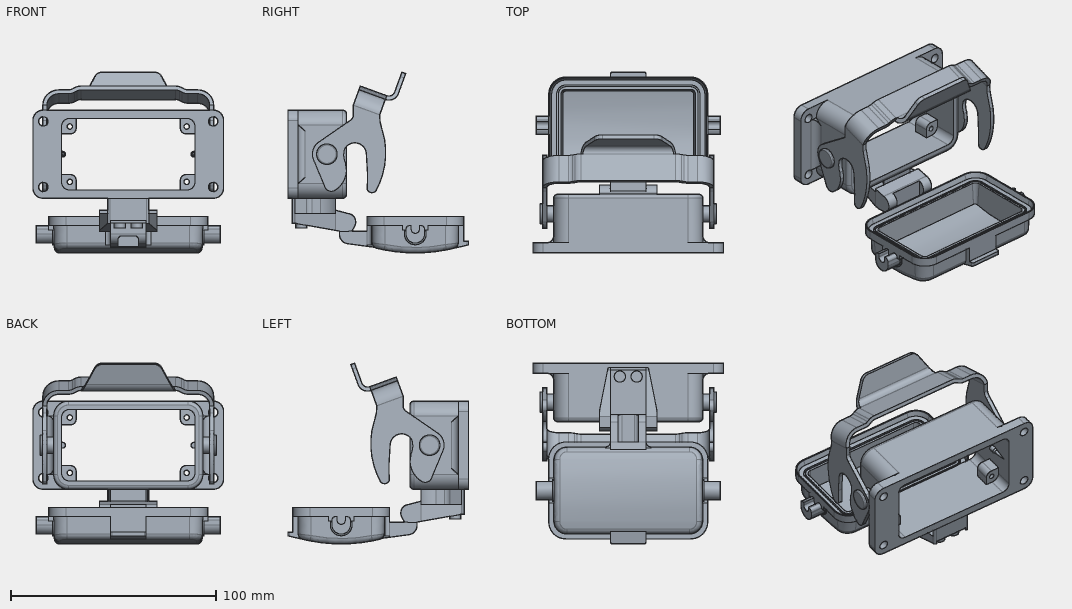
import cadquery as cq
import math


flange_length = 93.0
hood_height = 43.1
flange_thickness = 5.0
flange_corner = 5.0
hood_length = 72.7
hood_depth = 28.6
hood_corner = 7.35
hood_edge_round = 1.95
opening_length = 64.9
opening_height = 34.8
opening_corner = 3.7
mount_hole_diameter = 4.5
mount_hole_x = 41.4
mount_hole_z = 16.0
flare_radius = 3.35
flare_length = 28.6
flare_taper = 3.0

boss_length = 7.2
boss_height = 7.5
boss_corner = 3.0
boss_front = 9.0
boss_depth = 7.8
boss_hole_diameter = 2.5
boss_hole_x = 28.5
boss_hole_z = 13.5
key_diameter = 2.9
key_x = 32.0
key_front = 3.7
key_neck_radius = 0.9
key_neck = 10.2
key_shoulder = 11.2
key_end = 13.95

sheet = 2.0
bail_width = 83.3
pivot_y = 19.1
pivot_eye_radius = 7.1
pivot_head_diameter = 10.0
pivot_head_height = 1.4
pivot_head_round = 0.6
pivot_pin_diameter = 8.0
strap_tilt = 20.0
strap_width = 13.8
strap_front_y = 31.9
strap_front_z = 23.9
strap_bend = 8.0
strap_rise = 1.95
strap_raised_half = 24.55
strap_ramp_half = 28.1
ramp_inner_bend = 4.0
grip_bend = 5.0
grip_height = 13.3
grip_base_half = 23.1
grip_tip_half = 15.2
grip_corner = 4.2

arm_half_width = 8.65
arm_top = -37.5
notch_half_width = 5.0
notch_top = -39.8
notch_back = 38.5
notch_corner = 1.9
link_narrow_half = 10.0
link_wide_half = 14.0
link_top = -28.9
link_front = 3.4
link_back = 23.3
link_slot_front = 30.1
knuckle_end = 37.2
channel_top = -33.5
channel_mouth_top = -32.2
arm_end = 25.1
plate_front = 2.1
plate_bottom = -33.7
plate_edge_round = 1.1
screw_diameter = 5.5
screw_x = 4.1
screw_y = 6.6
screw_bottom = -36.0

cover_center_y = 62.1
rim_length = 77.6
rim_width = 47.2
rim_corner = 8.4
rim_top = -30.3
rim_bottom = -34.7
wall_inset = 2.3
wall_slope = 0.5
wall_corner = 6.6
cover_bottom = -48.2
belly_radius = 77.2
belly_round = 2.8
floor_thickness = 1.9
lip_thickness = 0.6
lip_slope = 0.9
lip_depth = 2.6
groove_inset = 3.9
groove_width = 0.8
groove_depth = 1.1
cavity_inset = 6.0
cavity_slope = 1.0
finger_tip_y = 88.2
finger_top = -42.3
finger_bottom = -44.2
finger_root_bottom = -45.7
finger_corner = 0.8
root_reach = 3.7
arm_root_round = 2.3
peg_tip = 44.8
peg_diameter = 9.0
peg_bottom = -43.3
peg_top = -34.8
peg_shoulder = 1.8
peg_slot_diameter = 4.0
peg_slot_center_z = -36.55
peg_collar_diameter = 10.6
peg_collar_end = 36.8
skirt_width = 12.4
skirt_height = 2.2

OVERLAP = 0.9


def box(x_range, y_range, z_range):
    """Axis-aligned block from three (low, high) ranges."""
    sizes = [high - low for low, high in (x_range, y_range, z_range)]
    lows = (x_range[0], y_range[0], z_range[0])
    return cq.Workplane("XY").box(*sizes, centered=False).translate(lows)


def across(profile_yz, half_width):
    """Extrude a closed Y-Z outline evenly to both sides of X = 0."""
    return profile_yz.extrude(half_width, both=True)


def rounded_slab(length, height, y_start, y_end, corner):
    """Slab along Y with its four corners rounded in the X-Z plane."""
    slab = box((-length / 2, length / 2), (y_start, y_end), (-height / 2, height / 2))
    return slab.edges("|Y").fillet(corner)


def both_sides(body):
    """Body together with its mirror image across X = 0."""
    return body.union(body.mirror("YZ"))


def four_corners(x, z):
    """Points mirrored about both axes."""
    return [(sx * x, sz * z) for sx in (-1, 1) for sz in (-1, 1)]


def holes_along_y(points, diameter, y_start, y_end):
    drill = cq.Workplane("XZ", origin=(0, y_start, 0)).pushPoints(points)
    return drill.circle(diameter / 2).extrude(y_start - y_end)


def make_flare():
    """Hollow-rounded strip joining the hood end to the flange, with slanted ends."""
    x, y = hood_length / 2, flange_thickness
    hollow = flare_radius * (1 - math.sqrt(0.5))
    strip = (
        cq.Workplane("XY", origin=(0, 0, -flare_length / 2))
        .moveTo(x - OVERLAP, y - OVERLAP)
        .lineTo(x + flare_radius, y - OVERLAP)
        .lineTo(x + flare_radius, y)
        .threePointArc((x + hollow, y + hollow), (x, y + flare_radius))
        .lineTo(x - OVERLAP, y + flare_radius)
        .close()
        .extrude(flare_length)
    )
    half, back = flare_length / 2, y + flare_radius
    ends = [(y - OVERLAP, -half), (y, -half), (back, flare_taper - half),
            (back, half - flare_taper), (y, half), (y - OVERLAP, half)]
    return strip.intersect(across(cq.Workplane("YZ").polyline(ends).close(), flange_length))


def make_bosses():
    """Screw bosses in the corners of the opening."""
    x_wall, z_wall = opening_length / 2, opening_height / 2
    y_range = (boss_front, boss_front + boss_depth)
    block = box((x_wall - boss_length, x_wall + OVERLAP), y_range,
                (z_wall - boss_height, z_wall + OVERLAP))
    block = block.edges("|Y and <X and <Z").fillet(boss_corner)
    upper = both_sides(block)
    bosses = upper.union(upper.mirror("XY"))
    corners = four_corners(boss_hole_x, boss_hole_z)
    return bosses.cut(holes_along_y(corners, boss_hole_diameter, *y_range))


def make_key():
    """Guide key on the end wall: a half-sunk pin tapering to a point."""
    radius = key_diameter / 2
    outline = [(0, key_front), (key_neck_radius, key_neck), (radius, key_shoulder),
               (radius, key_end), (0, key_end)]
    pin = cq.Workplane("XY").polyline(outline).close().revolve(360, (0, 0), (0, 1))
    return pin.translate((key_x, 0, 0))


def make_hood():
    """Flanged hood, open from front to back, with bosses and guide keys inside."""
    flange = rounded_slab(flange_length, hood_height, 0, flange_thickness, flange_corner)
    shell = rounded_slab(hood_length, hood_height, 0, hood_depth, hood_corner)
    shell = shell.faces(">Y").edges().fillet(hood_edge_round)
    hood = flange.union(shell).union(both_sides(make_flare()))
    hood = hood.cut(rounded_slab(opening_length, opening_height, -OVERLAP,
                                 hood_depth + OVERLAP, opening_corner))
    corners = four_corners(mount_hole_x, mount_hole_z)
    hood = hood.cut(holes_along_y(corners, mount_hole_diameter, -OVERLAP, flange_thickness))
    return hood.union(make_bosses()).union(both_sides(make_key()))


def make_side_arm():
    """Flat arm of the bail: pivot eye, hook slot and the long finger."""
    tilt = math.radians(strap_tilt)
    strap_back_y = strap_front_y + strap_width * math.cos(tilt)
    strap_back_z = strap_front_z - strap_width * math.sin(tilt)
    outline = (
        cq.Workplane("YZ", origin=(bail_width / 2 - sheet, 0, 0))
        .moveTo(strap_front_y, strap_front_z)
        .lineTo(strap_front_y, 19.1)
        .threePointArc((31.4, 17.5), (30.2, 16.4))
        .lineTo(15.1, 5.9)
        .threePointArc((pivot_y - pivot_eye_radius, 0), (12.6, -2.7))
        .lineTo(17.95, -15.5)
        .threePointArc((20.6, -18.0), (23.4, -17.3))
        .threePointArc((26.9, -13.7), (28.55, -7.8))
        .lineTo(28.1, -4.2)
        .threePointArc((27.25, -0.5), (27.6, 2.3))
        .threePointArc((32.7, 5.5), (38.2, 0.3))
        .lineTo(38.8, -9.3)
        .lineTo(38.7, -17.3)
        .threePointArc((40.9, -18.8), (43.15, -17.6))
        .threePointArc((46.6, -8.65), (47.2, 7.1))
        .lineTo(45.0, 15.8)
        .lineTo(strap_back_y, strap_back_z)
        .close()
    )
    return outline.extrude(sheet)


def place_on_strap(body):
    """Move a body from strap axes to the bail.

    In strap axes Y is the distance from the front edge, and Z rises from the bend line.
    """
    tilted = body.rotate((0, 0, 0), (1, 0, 0), -strap_tilt)
    return tilted.translate((0, strap_front_y, strap_front_z))


def strap_outline(offset):
    """Half of the strap's path in X-Z, moved inwards by the given offset."""
    side = bail_width / 2 - offset
    flat = strap_bend - offset
    diagonal = flat * math.sqrt(0.5)
    center = bail_width / 2 - strap_bend
    ramp_shift = offset * math.tan(math.atan2(strap_rise, strap_ramp_half - strap_raised_half) / 2)
    return [
        (side, 0),
        (center + diagonal, diagonal),
        (center, flat),
        (strap_ramp_half - ramp_shift, flat),
        (strap_raised_half - ramp_shift, flat + strap_rise),
    ]


def make_strap():
    """Cross strap with bent ends and a raised middle."""
    outer = strap_outline(0)
    inner = strap_outline(sheet)
    half = (
        cq.Workplane("XZ")
        .moveTo(*outer[0])
        .threePointArc(outer[1], outer[2])
        .lineTo(*outer[3])
        .lineTo(*outer[4])
        .lineTo(0, outer[4][1])
        .lineTo(0, inner[4][1])
        .lineTo(*inner[4])
        .lineTo(*inner[3])
        .lineTo(*inner[2])
        .threePointArc(inner[1], inner[0])
        .close()
        .extrude(-strap_width)
    )
    inner_radius, outer_radius = ramp_inner_bend, ramp_inner_bend + sheet
    bends = [(outer[3], inner_radius), (inner[3], outer_radius),
             (outer[4], outer_radius), (inner[4], inner_radius)]
    for (x, z), radius in bends:
        corner = cq.selectors.NearestToPointSelector((x, strap_width / 2, z))
        half = half.edges(corner).fillet(radius)
    return both_sides(half)


def make_grip():
    """Finger grip bent up from the back edge of the strap."""
    top = strap_bend + strap_rise
    tip = top + grip_height
    outer_face = strap_width + grip_bend
    inner_bend = grip_bend - sheet
    bend_center_z = top + inner_bend
    diagonal = math.sqrt(0.5)
    outer_mid = (strap_width + grip_bend * diagonal, bend_center_z - grip_bend * diagonal)
    inner_mid = (strap_width + inner_bend * diagonal, bend_center_z - inner_bend * diagonal)
    bent_sheet = across(
        cq.Workplane("YZ")
        .moveTo(strap_width - OVERLAP, top - sheet)
        .lineTo(strap_width, top - sheet)
        .threePointArc(outer_mid, (outer_face, bend_center_z))
        .lineTo(outer_face, tip)
        .lineTo(outer_face - sheet, tip)
        .lineTo(outer_face - sheet, bend_center_z)
        .threePointArc(inner_mid, (strap_width, top))
        .lineTo(strap_width - OVERLAP, top)
        .close(),
        grip_base_half,
    )
    base = top - sheet
    trapezoid = [(-grip_base_half, base), (grip_base_half, base),
                 (grip_tip_half, tip), (-grip_tip_half, tip)]
    blank = cq.Workplane("XZ").polyline(trapezoid).close().extrude(-outer_face)
    blank = blank.edges("|Y and >Z").fillet(grip_corner)
    return bent_sheet.intersect(blank)


def make_pivot():
    """Pivot pin from the hood wall through the arm, with its outer head."""
    start = hood_length / 2 - OVERLAP
    head_end = bail_width / 2 + pivot_head_height
    pin = cq.Workplane("YZ", origin=(start, pivot_y, 0)).circle(pivot_pin_diameter / 2)
    pin = pin.extrude(head_end - start)
    head = cq.Workplane("YZ", origin=(bail_width / 2 - sheet / 2, pivot_y, 0))
    head = head.circle(pivot_head_diameter / 2).extrude(sheet / 2 + pivot_head_height)
    return pin.union(head.faces(">X").edges().fillet(pivot_head_round))


def make_bail():
    crossbar = place_on_strap(make_strap().union(make_grip()))
    return crossbar.union(both_sides(make_side_arm().union(make_pivot())))


def make_link():
    """Hinge link: tapered tray under the hood with a rounded knuckle at the back."""
    side = (
        cq.Workplane("YZ")
        .moveTo(link_front, link_top)
        .lineTo(link_back, link_top)
        .lineTo(link_back, -27.25)
        .lineTo(29.3, -28.8)
        .threePointArc((32.7, -31.25), (32.7, -34.9))
        .lineTo(31.3, -37.5)
        .lineTo(26.0, -37.7)
        .lineTo(link_front, plate_bottom)
        .close()
    )
    plan = [(-link_narrow_half, link_front), (link_narrow_half, link_front),
            (link_wide_half, link_back), (link_wide_half, knuckle_end),
            (-link_wide_half, knuckle_end), (-link_wide_half, link_back)]
    blank = cq.Workplane("XY").polyline(plan).close().extrude(cover_bottom)
    link = across(side, link_wide_half).intersect(blank)
    slot = box((-arm_half_width, arm_half_width), (link_slot_front, knuckle_end), (cover_bottom, 0))
    return link.cut(slot)


def make_hinge():
    """Waisted post and front plate under the hood, link, and two screws in the link's channel."""
    under_hood = OVERLAP - hood_height / 2
    post_foot = link_top - OVERLAP
    half_post = (
        cq.Workplane("XY", origin=(0, 0, post_foot))
        .moveTo(0, link_front)
        .lineTo(9.3, link_front)
        .lineTo(6.0, 9.0)
        .threePointArc((5.0, 10.3), (4.65, 11.8))
        .lineTo(4.65, 16.0)
        .threePointArc((5.9, 19.9), (8.65, link_back))
        .lineTo(0, link_back)
        .close()
        .extrude(under_hood - post_foot)
    )
    plate = box((-link_narrow_half, link_narrow_half), (plate_front, link_front),
                (plate_bottom, under_hood))
    plate = plate.edges("|Z and <Y").fillet(plate_edge_round)
    screws = (
        cq.Workplane("XY", origin=(0, 0, screw_bottom))
        .pushPoints([(-screw_x, screw_y), (screw_x, screw_y)])
        .circle(screw_diameter / 2)
        .extrude(link_top - screw_bottom)
    )
    channel = box((-arm_half_width, arm_half_width), (0, arm_end), (cover_bottom, channel_top))
    mouth = box((-arm_half_width, arm_half_width), (0, link_front), (cover_bottom, channel_mouth_top))
    hinge = make_link().union(both_sides(half_post)).union(plate).cut(channel).cut(mouth)
    return hinge.union(screws)


def cover_slab(inset, z_low, z_high, slope=0, corner=None):
    """Rounded slab following the cover outline; a slope narrows it towards the bottom."""
    corner = corner or rim_corner - inset
    return (
        cq.Workplane("XY", origin=(0, cover_center_y, z_high))
        .sketch()
        .rect(rim_length - 2 * inset, rim_width - 2 * inset)
        .vertices()
        .fillet(corner)
        .finalize()
        .extrude(z_low - z_high, taper=math.degrees(math.atan2(slope, z_high - z_low)))
    )


def above_belly(z_lowest, radius):
    """Space above the arched floor whose lowest line is at z_lowest."""
    half = rim_width / 2
    z_edge = z_lowest + radius - math.sqrt(radius ** 2 - half ** 2)
    y_low, y_high = cover_center_y - half, cover_center_y + half
    outline = (
        cq.Workplane("YZ")
        .moveTo(y_low, rim_top + OVERLAP)
        .lineTo(y_low, z_edge)
        .threePointArc((cover_center_y, z_lowest), (y_high, z_edge))
        .lineTo(y_high, rim_top + OVERLAP)
        .close()
    )
    return across(outline, rim_length / 2)


def make_cover_arm():
    """Hinge arm reaching from the cover to the link, notched at its end."""
    root_y = cover_center_y - rim_width / 2
    side = (
        cq.Workplane("YZ")
        .moveTo(root_y + root_reach, arm_top)
        .lineTo(arm_end, arm_top)
        .lineTo(arm_end, -38.9)
        .threePointArc((26.2, -42.0), (28.8, -43.6))
        .lineTo(root_y, -44.9)
        .lineTo(root_y + root_reach, -45.4)
        .close()
    )
    notch = box((-notch_half_width, notch_half_width), (0, notch_back), (cover_bottom, notch_top))
    notch = notch.edges("|Y and >Z").fillet(notch_corner)
    wall_y = root_y + wall_inset
    hollow = arm_root_round * (1 - math.sqrt(0.5))
    x_end = arm_half_width + arm_root_round
    rounded_root = (
        cq.Workplane("XY", origin=(0, 0, finger_bottom))
        .moveTo(arm_half_width - OVERLAP, wall_y - arm_root_round)
        .lineTo(arm_half_width, wall_y - arm_root_round)
        .threePointArc((arm_half_width + hollow, wall_y - hollow), (x_end, wall_y))
        .lineTo(x_end, wall_y + OVERLAP)
        .lineTo(arm_half_width - OVERLAP, wall_y + OVERLAP)
        .close()
        .extrude(rim_bottom - finger_bottom)
    )
    return across(side, arm_half_width).cut(notch).union(both_sides(rounded_root))


def make_finger_tab():
    """Lifting tab under the rim on the side opposite the hinge."""
    rim_y = cover_center_y + rim_width / 2
    root_y = rim_y - root_reach
    outline = [(root_y, rim_bottom), (rim_y, rim_bottom), (rim_y, finger_top),
               (finger_tip_y, finger_top), (finger_tip_y, finger_bottom), (root_y, finger_root_bottom)]
    tab = across(cq.Workplane("YZ").polyline(outline).close(), arm_half_width)
    return tab.edges("|Z and >Y").fillet(finger_corner)


def make_peg():
    """Locking peg on the cover end: round below, flat above, with a slot along it."""
    start = rim_length / 2 - wall_inset - OVERLAP
    radius = peg_diameter / 2
    center_z = peg_bottom + radius
    peg = (
        cq.Workplane("YZ", origin=(start, cover_center_y, 0))
        .moveTo(-radius, center_z)
        .threePointArc((0, peg_bottom), (radius, center_z))
        .lineTo(radius, peg_top)
        .lineTo(-radius, peg_top)
        .close()
        .extrude(peg_tip - start)
    )
    peg = peg.edges("|X and >Z").fillet(peg_shoulder)
    collar = cq.Workplane("YZ", origin=(start, cover_center_y, center_z))
    collar = collar.circle(peg_collar_diameter / 2).extrude(peg_collar_end - start)
    rim_end = rim_length / 2
    skirt = box((start, rim_end),
                (cover_center_y - skirt_width / 2, cover_center_y + skirt_width / 2),
                (rim_bottom - skirt_height, rim_bottom))
    slot_radius = peg_slot_diameter / 2
    slot = (
        cq.Workplane("YZ", origin=(rim_end, cover_center_y, 0))
        .moveTo(-slot_radius, peg_top + OVERLAP)
        .lineTo(-slot_radius, peg_slot_center_z)
        .threePointArc((0, peg_slot_center_z - slot_radius), (slot_radius, peg_slot_center_z))
        .lineTo(slot_radius, peg_top + OVERLAP)
        .close()
        .extrude(peg_tip - rim_end)
    )
    return peg.union(collar).union(skirt).cut(slot)


def make_cover():
    """Bowl-shaped cover with a stepped, grooved rim, hinge arm, finger tab and pegs."""
    rim = cover_slab(0, rim_bottom, rim_top)
    bowl = cover_slab(wall_inset, cover_bottom, rim_top, wall_slope, wall_corner)
    bowl = bowl.intersect(above_belly(cover_bottom, belly_radius))
    bowl = bowl.faces("<Z").edges().fillet(belly_round)
    cover = rim.union(bowl).union(make_cover_arm()).union(make_finger_tab())
    cover = cover.union(both_sides(make_peg()))

    shelf = rim_top - lip_depth
    recess = cover_slab(lip_thickness, shelf, rim_top, lip_slope)
    groove = cover_slab(groove_inset, shelf - groove_depth, shelf)
    groove = groove.cut(cover_slab(groove_inset + groove_width, shelf - groove_depth, shelf))
    cavity_floor = cover_bottom + floor_thickness
    cavity = cover_slab(cavity_inset, cavity_floor, shelf, cavity_slope)
    cavity = cavity.intersect(above_belly(cavity_floor, belly_radius - floor_thickness))
    return cover.cut(recess).cut(groove).cut(cavity)


result = make_hood().union(make_bail()).union(make_hinge()).union(make_cover())